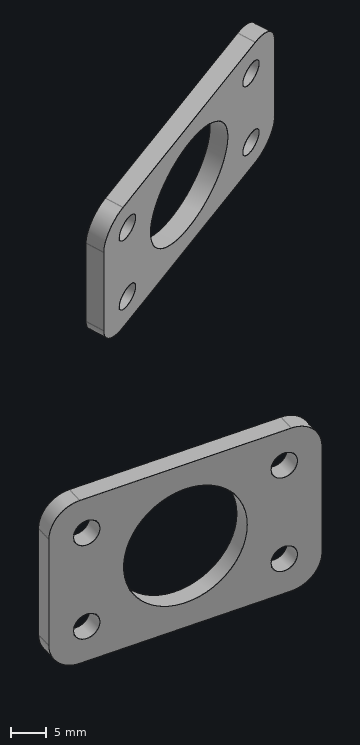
import cadquery as cq

thickness = 3.0
length = 44.25
height = 28.7
corner_radius = 5.0

bore_diameter = 20.0
bolt_hole_diameter = 4.25
bolt_spacing_y = 32.0
bolt_spacing_z = 16.45

plate = cq.Workplane("YZ").rect(length, height).extrude(thickness / 2, both=True)
plate = plate.edges("|X").fillet(corner_radius)

plate = plate.faces(">X").workplane(origin=(0, 0, 0)).hole(bore_diameter)

result = (
    plate.faces(">X")
    .workplane(origin=(0, 0, 0))
    .rect(bolt_spacing_y, bolt_spacing_z, forConstruction=True)
    .vertices()
    .hole(bolt_hole_diameter)
)